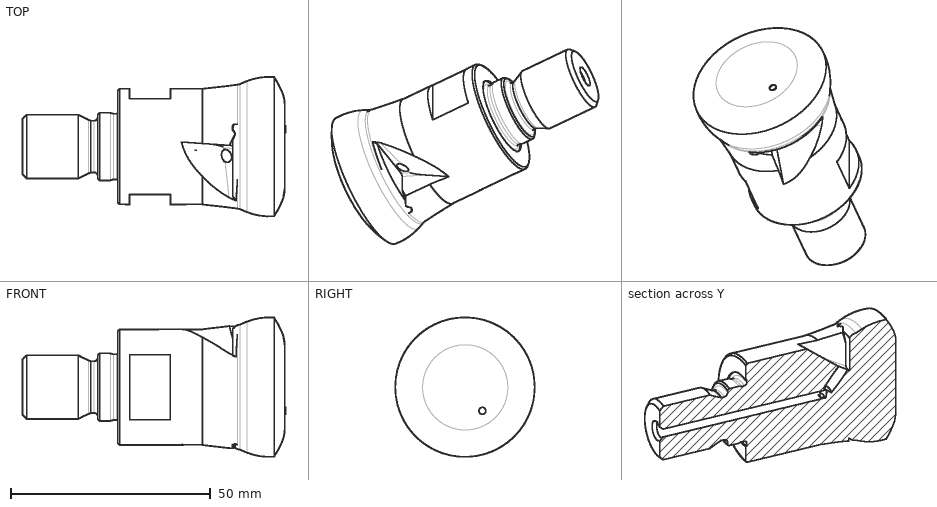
import cadquery as cq
import math


shank_radius = 16.0 / 2
shank_chamfer = 1.05
shank_end = 14.0
neck_radius = 13.0 / 2
neck_cone_end = 16.5
neck_cone_end_radius = 6.8
neck_start = 17.15
neck_end = 17.95
neck_fillet = 0.9
collar_radius = 17.0 / 2
collar_chamfer = 0.45
collar_end = 21.95
pilot_radius = 16.55 / 2
pilot_start = 22.75

body_start = 23.9
body_radius = 29 / 2
body_chamfer = 0.45
face_recess_radius = 9.75
face_recess_depth = 0.3
root_radius = 0.65
flare_start = 45.1
flare_step = 0.2
flare_start_radius = 14.6
flare_end = 53.95
flare_end_radius = 15.55
across_flats = 24.0
flat_start = 26.85
flat_end = 37.05

head_back = 52.75
head_back_radius = 14.7
head_seam = 54.5
head_seam_radius = 15.7
head_radius = 34.95 / 2
head_corner = 63.05
head_face = 65.75
head_face_radius = 10.7
head_shoulder = (53.3, 15.25)
crown_start = (56.2, 16.4)
crown_middle = (59.55, 17.35)
rim_point = (64.7, 14.6)
total_length = 65.95
pip_radius = 0.85
pip_y = 4.35
pip_z = -5.95

bore_radius = 4.0 / 2
bore_mouth_radius = 2.6
bore_mouth_depth = 1.0
bore_depth = 46.15
drill_point_angle = 118

pocket_tip = (39.95, 0.65, body_radius)
floor_fall = 0.82
floor_roll = 0.27
bend_x = 50.3
bend_skew = 0.11
end_floor_rise = 0.23
wall_angle = 4
wall_y_at_head = 0.1
wall_root_fillet = 0.5
outlet_radius = 3.0 / 2
outlet_x = 51.05
outlet_y = -2.3
outlet_inner_end = (46.8, -1.0, 1.0)

relief_height = 15.2
relief_tilt = 15
relief_depth = 5.3
relief_top_y = 5.7
relief_tip_y = 3.15
relief_start = 51.85
relief_tip_x = 53.3
hook_x = 52.9
hook_start_y = 3.8
hook_left = 52.4

reach = 26.4


def revolve_about_x(outline):
    return outline.close().revolve(360, (0, 0, 0), (1, 0, 0))


def make_stem():
    """Shank, neck, collar and body in one turned piece."""
    shoulder = neck_end + neck_fillet
    recess_floor = body_start + face_recess_depth
    root_drop = root_radius * math.sqrt(0.5)
    arc_drop = neck_fillet * math.sqrt(0.5)
    outline = (
        cq.Workplane("XY")
        .moveTo(0, 0)
        .lineTo(0, shank_radius - shank_chamfer)
        .lineTo(shank_chamfer, shank_radius)
        .lineTo(shank_end, shank_radius)
        .lineTo(neck_cone_end, neck_cone_end_radius)
        .lineTo(neck_start, neck_radius)
        .lineTo(neck_end, neck_radius)
        .threePointArc(
            (neck_end + arc_drop, neck_radius + neck_fillet - arc_drop),
            (shoulder, neck_radius + neck_fillet),
        )
        .lineTo(shoulder, collar_radius - collar_chamfer)
        .lineTo(shoulder + collar_chamfer, collar_radius)
        .lineTo(collar_end, collar_radius)
        .lineTo(pilot_start, pilot_radius)
        .lineTo(recess_floor - root_radius, pilot_radius)
        .threePointArc(
            (recess_floor - root_radius + root_drop, pilot_radius + root_radius - root_drop),
            (recess_floor, pilot_radius + root_radius),
        )
        .lineTo(recess_floor, face_recess_radius)
        .lineTo(body_start, face_recess_radius)
        .lineTo(body_start, body_radius - body_chamfer)
        .lineTo(body_start + body_chamfer, body_radius)
        .lineTo(flare_start, body_radius)
        .lineTo(flare_start + flare_step, flare_start_radius)
        .lineTo(flare_end, flare_end_radius)
        .lineTo(head_seam, head_seam_radius)
        .lineTo(head_seam, 0)
    )
    return revolve_about_x(outline)


def make_wrench_flats():
    """Two slabs that leave parallel flats on the +Y and -Y sides."""
    slab = (
        cq.Workplane("XY")
        .box(flat_end - flat_start, reach, 2 * reach, centered=(False, False, True))
        .translate((flat_start, across_flats / 2, 0))
    )
    return slab.union(slab.mirror("XZ"))


def floor_height(x, y):
    tip_x, tip_y, tip_z = pocket_tip
    return tip_z - floor_fall * (x - tip_x) - floor_roll * (y - tip_y)


def space_above(x, y, fall, roll):
    """Everything over the slope through the floor point at x, y."""
    slope = cq.Plane(
        origin=(x, y, floor_height(x, y)),
        xDir=(1, 0, -fall),
        normal=(fall, roll, 1),
    )
    return cq.Workplane(slope).rect(4 * reach, 4 * reach).extrude(2 * reach)


def make_pocket():
    """Space above the two-slope floor and on the -Y side of the wall."""
    room = (
        cq.Workplane("XY")
        .box(2 * reach, reach, reach, centered=False)
        .translate((-2 * reach, -reach, 0))
        .rotate((0, 0, 0), (0, 0, 1), -wall_angle)
        .translate((head_seam, wall_y_at_head, 0))
    )
    main_floor = space_above(bend_x, 0, floor_fall, floor_roll)
    end_floor = space_above(
        bend_x,
        0,
        floor_fall - end_floor_rise,
        floor_roll - end_floor_rise * bend_skew,
    )
    wall = room.intersect(main_floor).intersect(end_floor)
    root = wall.faces(">Y").edges(">>Z[0] or >>Z[1]")
    return root.fillet(wall_root_fillet)


def make_relief():
    """Hooked gap between the body skin and the head, next to the pocket wall."""
    tilt = math.radians(relief_tilt)
    lean = cq.Plane(
        origin=(head_back, 0, relief_height),
        xDir=(math.cos(tilt), 0, math.sin(tilt)),
        normal=(-math.sin(tilt), 0, math.cos(tilt)),
    )
    return (
        cq.Workplane(lean)
        .moveTo(relief_start - head_back, wall_y_at_head)
        .lineTo(relief_tip_x - head_back, relief_tip_y)
        .lineTo(hook_x - head_back, hook_start_y)
        .threePointArc(
            (hook_left - head_back, (hook_start_y + relief_top_y) / 2),
            (hook_x - head_back, relief_top_y),
        )
        .lineTo(head_seam - head_back, relief_top_y)
        .lineTo(head_seam - head_back, wall_y_at_head)
        .close()
        .extrude(relief_depth, both=True)
    )


def make_head():
    """Smoothly flared head with a domed rim, a flat face and one small pip."""
    outline = (
        cq.Workplane("XY")
        .moveTo(head_back, 0)
        .lineTo(head_back, head_back_radius)
        .threePointArc(head_shoulder, (head_seam, head_seam_radius))
        .lineTo(*crown_start)
        .threePointArc(crown_middle, (head_corner, head_radius))
        .spline(
            [rim_point, (head_face, head_face_radius)],
            tangents=[(1, -1.4), (0, -1)],
            includeCurrent=True,
        )
        .lineTo(head_face, 0)
    )
    head = revolve_about_x(outline)
    pip = (
        cq.Workplane("YZ", origin=(head_back, 0, 0))
        .center(pip_y, pip_z)
        .circle(pip_radius)
        .extrude(total_length - head_back)
    )
    return head.union(pip)


def make_bore():
    point_length = bore_radius / math.tan(math.radians(drill_point_angle / 2))
    outline = (
        cq.Workplane("XY")
        .moveTo(0, 0)
        .lineTo(0, bore_mouth_radius)
        .lineTo(bore_mouth_depth, bore_radius)
        .lineTo(bore_depth, bore_radius)
        .lineTo(bore_depth + point_length, 0)
    )
    return revolve_about_x(outline)


def make_outlet():
    """Coolant hole from the pocket floor down to the end of the bore."""
    mouth = cq.Vector(outlet_x, outlet_y, floor_height(outlet_x, outlet_y))
    inner_end = cq.Vector(*outlet_inner_end)
    start = mouth + (mouth - inner_end) * 0.5
    drill = cq.Solid.makeCylinder(outlet_radius, (inner_end - start).Length, start, inner_end - start)
    return cq.Workplane(drill)


def opposite(shape):
    return shape.rotate((0, 0, 0), (1, 0, 0), 180)


result = make_stem().cut(make_wrench_flats())
for cutter in (make_pocket(), make_relief(), make_outlet()):
    result = result.cut(cutter).cut(opposite(cutter))
result = result.cut(make_bore()).union(make_head())